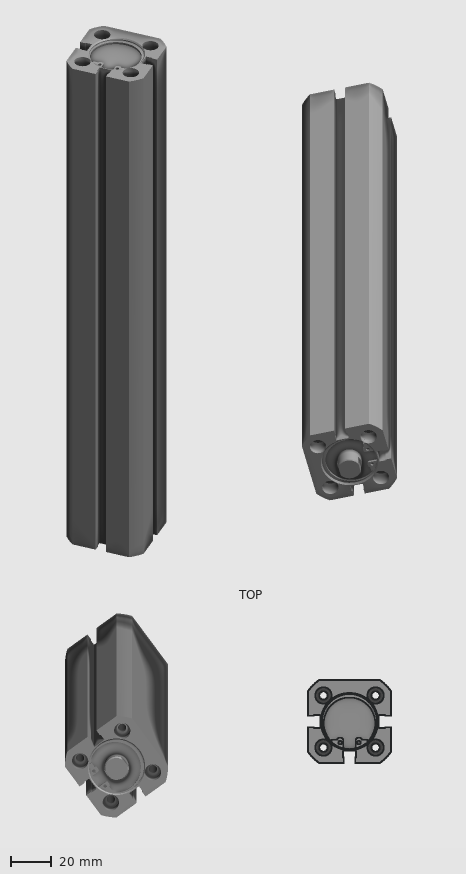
import cadquery as cq

width = 41.0
total_length = 289
housing_length = 283.0
corner_radius = 25.5

bore_radius = 13.5
bore_chamfer = 0.5
groove_radius = 14.2
ring_inset = 1.2
ring_thickness = 1.2

slot_floor = 14.5
slot_width = 6.5
slot_mouth_width = 5.5
slot_lip_depth = 3.0
slot_turns = (-90, 0, 90)

hole_pitch = 25.7
hole_radius = 2.0
counterbore_radius = 4.0
counterbore_depth = 8.7

ring_inner_radius = 12.7
ring_inner_offset = 1.0
ear_inner_x = 3.2
ear_width = 3.0
ear_shoulder_width = 5.5
ear_shoulder_y = -9.0
ear_top_y = -8.0
ear_fillet = 1.0
ear_hole_radius = 1.0
ear_hole_y = -10.5

cover_thickness = 11.5

rod_radius = 6.0
rod_overhang = total_length - housing_length
rod_flats = 10.0
rod_shoulder = 1.5
rod_chamfer = 0.5

bottom_ring_base = ring_inset
top_ring_base = housing_length - ring_inset - ring_thickness
bottom_cover_base = bottom_ring_base + ring_thickness
top_cover_base = top_ring_base - cover_thickness


def plane_at(z):
    return cq.Workplane("XY").workplane(offset=z)


def cylinder(radius, base, height):
    return plane_at(base).circle(radius).extrude(height)


def make_slot():
    """Groove along the -Y face: a narrow mouth that opens into a wider channel."""
    outer_y = -width / 2
    lip_y = outer_y + slot_lip_depth
    return (
        cq.Workplane("XY")
        .moveTo(-slot_mouth_width / 2, outer_y)
        .lineTo(slot_mouth_width / 2, outer_y)
        .lineTo(slot_mouth_width / 2, lip_y)
        .lineTo(slot_width / 2, lip_y)
        .lineTo(slot_width / 2, -slot_floor)
        .lineTo(-slot_width / 2, -slot_floor)
        .lineTo(-slot_width / 2, lip_y)
        .lineTo(-slot_mouth_width / 2, lip_y)
        .close()
        .extrude(housing_length)
    )


def mounting_holes(radius, base, depth):
    square = plane_at(base).rect(hole_pitch, hole_pitch, forConstruction=True)
    return square.vertices().circle(radius).extrude(depth)


def make_bore():
    """The space inside the housing: bore, ring grooves and chamfered mouths."""
    bore = cylinder(bore_radius, 0, housing_length)
    for base in (bottom_ring_base, top_ring_base):
        bore = bore.union(cylinder(groove_radius, base, ring_thickness))
    mouth_radius = bore_radius + bore_chamfer
    up = cq.Vector(0, 0, 1)
    for end, inward in ((0, up), (housing_length, -up)):
        mouth = cq.Solid.makeCone(mouth_radius, bore_radius, bore_chamfer, cq.Vector(0, 0, end), inward)
        bore = bore.union(cq.Workplane(mouth))
    return bore


def make_housing():
    body = cq.Workplane("XY").rect(width, width).extrude(housing_length)
    body = body.intersect(cylinder(corner_radius, 0, housing_length))
    body = body.cut(make_bore())
    for turn in slot_turns:
        body = body.cut(make_slot().rotate((0, 0, 0), (0, 0, 1), turn))
    body = body.cut(mounting_holes(hole_radius, 0, housing_length))
    for base in (0, housing_length - counterbore_depth):
        body = body.cut(mounting_holes(counterbore_radius, base, counterbore_depth))
    return body


def ear_block(base, side, block_width, top_y):
    """Block beside the ring gap, reaching from top_y out to the edge of the ring."""
    height = top_y + groove_radius
    center_x = side * (ear_inner_x + block_width / 2)
    block = plane_at(base).center(center_x, top_y - height / 2).rect(block_width, height)
    return block.extrude(ring_thickness)


def make_ring(base):
    disc = cylinder(groove_radius, base, ring_thickness)
    inside = plane_at(base).center(0, -ring_inner_offset).circle(ring_inner_radius).extrude(ring_thickness)
    ring = disc.cut(inside)
    for side in (-1, 1):
        tip = ear_block(base, side, ear_width, ear_top_y).edges("|Z and >Y").fillet(ear_fillet)
        shoulder = ear_block(base, side, ear_shoulder_width, ear_shoulder_y)
        hole = plane_at(base).center(side * (ear_inner_x + ear_width / 2), ear_hole_y)
        ring = ring.union(tip.union(shoulder).intersect(disc))
        ring = ring.cut(hole.circle(ear_hole_radius).extrude(ring_thickness))
    gap = plane_at(base).center(0, -groove_radius).rect(2 * ear_inner_x, groove_radius)
    return ring.cut(gap.extrude(ring_thickness))


def make_rod():
    length = rod_overhang + top_cover_base
    rod = cylinder(rod_radius, -rod_overhang, length).faces("<Z").chamfer(rod_chamfer)
    flat_length = rod_overhang - rod_shoulder
    rod_end = cylinder(rod_radius, -rod_overhang, flat_length)
    between_flats = plane_at(-rod_overhang).rect(2 * rod_radius, rod_flats).extrude(flat_length)
    return rod.cut(rod_end.cut(between_flats))


def make_rod_cover():
    cover = cylinder(bore_radius, bottom_cover_base, cover_thickness)
    return cover.cut(cylinder(rod_radius, bottom_cover_base, cover_thickness))


housing = make_housing()
head_cover = cylinder(bore_radius, top_cover_base, cover_thickness)
rod_cover = make_rod_cover()
rod = make_rod()
rings = [make_ring(base) for base in (bottom_ring_base, top_ring_base)]

result = cq.Compound.makeCompound(
    [housing.val(), head_cover.val(), rod_cover.val(), rod.val(), *[ring.val() for ring in rings]]
)